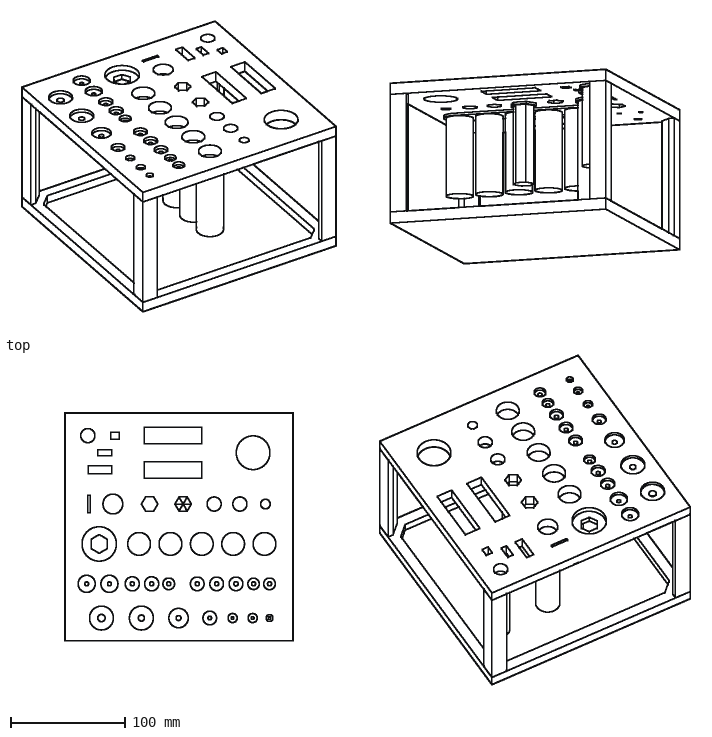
import cadquery as cq
import math

SIDE = 200.0
HEIGHT = 125.0
PLATE_THICKNESS = 10.0
HALF = SIDE / 2
CORNER_CUT = 10.0
TOP_PLATE_Z = HEIGHT - PLATE_THICKNESS

TRAY_RIM = 10.0
TRAY_FLOOR = 2.5

POST_SIDE = 15.0

SOCKET_WALL = 2.0
FLANGE_MARGIN = 2.0
FLANGE_THICKNESS = 2.0
SHORT_SOCKET_LENGTH = 71.6
LONG_SOCKET_LENGTH = 93.6
SOCKET_BOTTOM = 2.0
TIP_ANGLE = 90.0

HEX_SIDES = 6
HEX_STEP = 2 * math.pi / HEX_SIDES
HEX_TURN = 180.0 / HEX_SIDES

ROW_1 = 80.0
ROW_2 = 65.0
ROW_3 = 50.0
ROW_4 = 20.0
ROW_5 = -15.0
ROW_6 = -50.0
ROW_7 = -80.0

SMALL_SOCKET_X = -80.0
SMALL_BORE = 12.5
LONG_SOCKET_X = -58.0
LONG_BORE = 17.5
HEX_SOCKET_X = 3.6
HEX_ACROSS_FLATS = 12.5
BANK_BORE = 20.0
BANK_COUNT = 5
BANK_FIRST_X = -35.0
BANK_LAST_X = 75.0

RECT_OPENINGS = [
    (-56.2, ROW_1, 7.6, 6.0),
    (-65.2, ROW_2, 12.0, 5.5),
    (-69.5, ROW_3, 20.6, 7.0),
    (-5.2, ROW_1, 50.5, 14.6),
    (-5.2, ROW_3, 50.5, 14.6),
    (-79.0, ROW_4, 2.0, 15.6),
]

ROUND_HOLES = [
    (65.0, ROW_2, 29.6),
    (30.8, ROW_4, 12.5),
    (53.5, ROW_4, 12.5),
    (75.8, ROW_4, 8.5),
]
HEX_HOLE_X = -25.8

SEAT_X = -70.0
SEAT_DIAMETER = 30.2
SEAT_HEX_ACROSS_FLATS = 14.2
SEAT_DEPTH = 5.0

STEP_DEPTH = 3.0

STEPPED_HOLES = [
    (-81.0, ROW_6, 15.0, 3.5),
    (-61.0, ROW_6, 15.0, 3.5),
    (-41.0, ROW_6, 12.5, 3.6),
    (-24.0, ROW_6, 12.5, 3.6),
    (-9.0, ROW_6, 10.2, 3.6),
    (16.0, ROW_6, 12.0, 3.6),
    (33.0, ROW_6, 12.0, 3.6),
    (50.0, ROW_6, 12.0, 3.8),
    (65.5, ROW_6, 10.0, 3.6),
    (79.5, ROW_6, 10.2, 3.6),
    (-68.0, ROW_7, 21.0, 6.5),
    (-33.0, ROW_7, 21.0, 5.5),
    (-0.5, ROW_7, 17.0, 4.5),
    (27.0, ROW_7, 12.0, 3.2),
    (47.0, ROW_7, 8.0, 2.5),
    (64.6, ROW_7, 8.0, 2.5),
    (79.5, ROW_7, 6.0, 2.5),
]


def corner_diameter(across_flats):
    """Diameter of the circle through the corners of a hexagon."""
    return across_flats / math.cos(HEX_STEP / 2)


def bank_positions():
    pitch = (BANK_LAST_X - BANK_FIRST_X) / (BANK_COUNT - 1)
    return [(BANK_FIRST_X + i * pitch, ROW_5) for i in range(BANK_COUNT)]


def make_base_tray():
    slab = cq.Workplane("XY").rect(SIDE, SIDE).extrude(PLATE_THICKNESS)
    opening = SIDE - 2 * TRAY_RIM
    pocket = (
        cq.Workplane("XY", origin=(0, 0, TRAY_FLOOR))
        .rect(opening, opening)
        .extrude(PLATE_THICKNESS)
        .edges("|Z")
        .chamfer(CORNER_CUT)
    )
    return slab.cut(pocket)


def make_post(x_side, y_side):
    inner = HALF - POST_SIDE
    cut_end = inner + CORNER_CUT
    outline = [(HALF, HALF), (inner, HALF), (inner, cut_end), (cut_end, inner), (HALF, inner)]
    return (
        cq.Workplane("XY", origin=(0, 0, PLATE_THICKNESS))
        .polyline([(x_side * x, y_side * y) for x, y in outline])
        .close()
        .extrude(TOP_PLATE_Z - PLATE_THICKNESS)
    )


def make_top_plate():
    plate = cq.Workplane("XY", origin=(0, 0, TOP_PLATE_Z)).rect(SIDE, SIDE).extrude(PLATE_THICKNESS)
    top = cq.Workplane("XY", origin=(0, 0, HEIGHT))

    def cut_round(plate, points, diameter, depth):
        return plate.cut(top.pushPoints(points).circle(diameter / 2).extrude(-depth))

    for x, y, length, width in RECT_OPENINGS:
        plate = plate.cut(top.center(x, y).rect(length, width).extrude(-PLATE_THICKNESS))
    for x, y, diameter in ROUND_HOLES:
        plate = cut_round(plate, [(x, y)], diameter, PLATE_THICKNESS)
    for x, y, recess, hole in STEPPED_HOLES:
        plate = cut_round(plate, [(x, y)], recess, STEP_DEPTH)
        plate = cut_round(plate, [(x, y)], hole, PLATE_THICKNESS)

    plate = cut_round(plate, [(SMALL_SOCKET_X, ROW_1)], SMALL_BORE, PLATE_THICKNESS)
    plate = cut_round(plate, [(LONG_SOCKET_X, ROW_4)], LONG_BORE, PLATE_THICKNESS)
    plate = cut_round(plate, bank_positions(), BANK_BORE, PLATE_THICKNESS)

    hex_points = [(HEX_HOLE_X, ROW_4), (HEX_SOCKET_X, ROW_4)]
    hex_holes = top.pushPoints(hex_points).polygon(HEX_SIDES, corner_diameter(HEX_ACROSS_FLATS))
    plate = plate.cut(hex_holes.extrude(-PLATE_THICKNESS))

    plate = cut_round(plate, [(SEAT_X, ROW_5)], SEAT_DIAMETER, SEAT_DEPTH)
    seat_hex = top.center(SEAT_X, ROW_5).transformed(rotate=(0, 0, HEX_TURN))
    seat_hex = seat_hex.polygon(HEX_SIDES, corner_diameter(SEAT_HEX_ACROSS_FLATS)).extrude(-PLATE_THICKNESS)
    return plate.cut(seat_hex)


def tip_depth(bore):
    return bore / 2 / math.tan(math.radians(TIP_ANGLE / 2))


def round_bore(x, y, bore, length):
    """Solid of a bore with a conical tip, SOCKET_BOTTOM above the socket's lower end."""
    straight = length - SOCKET_BOTTOM - tip_depth(bore)
    outline = [(0, 0), (bore / 2, 0), (bore / 2, -straight), (0, SOCKET_BOTTOM - length)]
    return (
        cq.Workplane("XZ", origin=(x, y, TOP_PLATE_Z))
        .polyline(outline)
        .close()
        .revolve(axisStart=(0, 0, 0), axisEnd=(0, 1, 0))
    )


def make_round_socket(x, y, bore, length):
    under_plate = cq.Workplane("XY", origin=(x, y, TOP_PLATE_Z))
    tube_radius = bore / 2 + SOCKET_WALL
    tube = under_plate.circle(tube_radius).extrude(-length)
    flange = under_plate.circle(tube_radius + FLANGE_MARGIN).extrude(-FLANGE_THICKNESS)
    return tube.union(flange).cut(round_bore(x, y, bore, length))


def hex_tip(x, y, base_z):
    """Six-sided pyramid pointing down, closing the hexagonal bore."""
    radius = corner_diameter(HEX_ACROSS_FLATS) / 2
    apex = cq.Vector(x, y, base_z - tip_depth(HEX_ACROSS_FLATS))
    corners = [
        cq.Vector(x + radius * math.cos(k * HEX_STEP), y + radius * math.sin(k * HEX_STEP), base_z)
        for k in range(HEX_SIDES)
    ]
    outlines = [corners]
    for k in range(HEX_SIDES):
        outlines.append([corners[k], corners[(k + 1) % HEX_SIDES], apex])
    faces = [cq.Face.makeFromWires(cq.Wire.makePolygon(points, close=True)) for points in outlines]
    return cq.Workplane(cq.Solid.makeSolid(cq.Shell.makeShell(faces)))


def make_hex_socket():
    under_plate = cq.Workplane("XY", origin=(HEX_SOCKET_X, ROW_4, TOP_PLATE_Z))
    tube_flats = HEX_ACROSS_FLATS + 2 * SOCKET_WALL
    flange_flats = tube_flats + 2 * FLANGE_MARGIN
    tube = under_plate.polygon(HEX_SIDES, corner_diameter(tube_flats)).extrude(-SHORT_SOCKET_LENGTH)
    flange = under_plate.polygon(HEX_SIDES, corner_diameter(flange_flats)).extrude(-FLANGE_THICKNESS)

    straight = SHORT_SOCKET_LENGTH - SOCKET_BOTTOM - tip_depth(HEX_ACROSS_FLATS)
    bore = under_plate.polygon(HEX_SIDES, corner_diameter(HEX_ACROSS_FLATS)).extrude(-straight)
    tip = hex_tip(HEX_SOCKET_X, ROW_4, TOP_PLATE_Z - straight)
    return tube.union(flange).cut(bore).cut(tip)


def make_socket_bank():
    points = bank_positions()
    tube_radius = BANK_BORE / 2 + SOCKET_WALL
    flange_width = 2 * (tube_radius + FLANGE_MARGIN)
    span = BANK_LAST_X - BANK_FIRST_X
    centre_x = (BANK_FIRST_X + BANK_LAST_X) / 2
    bank = (
        cq.Workplane("XY", origin=(centre_x, ROW_5, TOP_PLATE_Z))
        .slot2D(span + flange_width, flange_width)
        .extrude(-FLANGE_THICKNESS)
    )
    tubes = cq.Workplane("XY", origin=(0, 0, TOP_PLATE_Z)).pushPoints(points)
    bank = bank.union(tubes.circle(tube_radius).extrude(-SHORT_SOCKET_LENGTH))
    for x, y in points:
        bank = bank.cut(round_bore(x, y, BANK_BORE, SHORT_SOCKET_LENGTH))
    return bank


base_tray = make_base_tray()
posts = [make_post(x_side, y_side) for x_side in (-1, 1) for y_side in (-1, 1)]
top_plate = make_top_plate()
small_socket = make_round_socket(SMALL_SOCKET_X, ROW_1, SMALL_BORE, SHORT_SOCKET_LENGTH)
long_socket = make_round_socket(LONG_SOCKET_X, ROW_4, LONG_BORE, LONG_SOCKET_LENGTH)
hex_socket = make_hex_socket()
socket_bank = make_socket_bank()

result = cq.Compound.makeCompound([
    base_tray.val(),
    *[post.val() for post in posts],
    top_plate.val(),
    small_socket.val(),
    long_socket.val(),
    hex_socket.val(),
    socket_bank.val(),
])